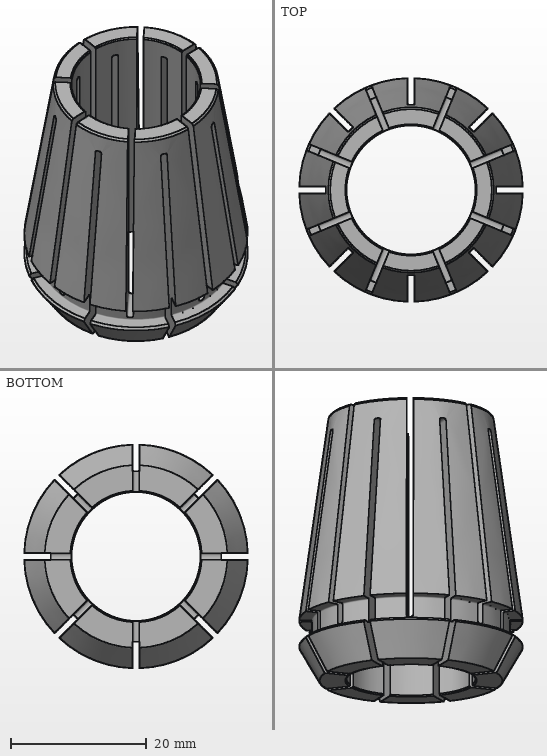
import cadquery as cq
import math

height = 40.0
max_radius = 16.5
bore_radius = 9.5
cone_half_angle = 8.0
cone_base_z = 9.1
groove_radius = 14.6
groove_fillet = 0.2
flange_top_z = 5.5
flange_half_angle = 30.0
flange_rim_chamfer = 0.35
top_chamfer = 0.3
bore_chamfer = 0.2
bottom_chamfer = 0.15

slot_count = 8
slot_width = 1.0
slot_end_fillet = 0.4
lower_slot_end_z = 37.0
upper_slot_end_z = 6.0

slot_pitch = 360.0 / slot_count
cone_slope = math.tan(math.radians(cone_half_angle))
flange_slope = math.tan(math.radians(flange_half_angle))
top_chamfer_z = height - top_chamfer
top_chamfer_radius = max_radius - (top_chamfer_z - cone_base_z) * cone_slope
flange_edge_z = flange_top_z - flange_rim_chamfer
bottom_radius = max_radius - (flange_edge_z - bottom_chamfer) * flange_slope


def collet_body():
    """Revolve the half section: flange cone, nut groove, clamping cone and bore."""
    section = (
        cq.Workplane("XZ")
        .moveTo(bore_radius + bore_chamfer, 0)
        .lineTo(bottom_radius - bottom_chamfer, 0)
        .lineTo(bottom_radius, bottom_chamfer)
        .lineTo(max_radius, flange_edge_z)
        .lineTo(max_radius - flange_rim_chamfer, flange_top_z)
        .lineTo(groove_radius + groove_fillet, flange_top_z)
        .radiusArc((groove_radius, flange_top_z + groove_fillet), groove_fillet)
        .lineTo(groove_radius, cone_base_z - groove_fillet)
        .radiusArc((groove_radius + groove_fillet, cone_base_z), groove_fillet)
        .lineTo(max_radius, cone_base_z)
        .lineTo(top_chamfer_radius, top_chamfer_z)
        .lineTo(top_chamfer_radius - top_chamfer, height)
        .lineTo(bore_radius + bore_chamfer, height)
        .lineTo(bore_radius, height - bore_chamfer)
        .lineTo(bore_radius, bore_chamfer)
        .close()
    )
    return section.revolve(360, (0, 0), (0, 1))


def slot_cutter(open_z, end_z):
    """Radial slot along +X, open at open_z and closed at end_z with rounded corners."""
    length = max_radius + slot_width
    closed_end = "<Z" if end_z < open_z else ">Z"
    return (
        cq.Workplane("XY")
        .box(length, slot_width, abs(open_z - end_z), centered=(False, True, False))
        .translate((0, 0, min(open_z, end_z)))
        .faces(closed_end)
        .edges("|X")
        .fillet(slot_end_fillet)
    )


def cut_slots(body, cutter, first_angle):
    """Cut one ring of equally spaced slots around the axis."""
    for index in range(slot_count):
        angle = first_angle + index * slot_pitch
        body = body.cut(cutter.rotate((0, 0, 0), (0, 0, 1), angle))
    return body


lower_slot = slot_cutter(0, lower_slot_end_z)
upper_slot = slot_cutter(height, upper_slot_end_z)

result = collet_body()
result = cut_slots(result, lower_slot, 0)
result = cut_slots(result, upper_slot, slot_pitch / 2)